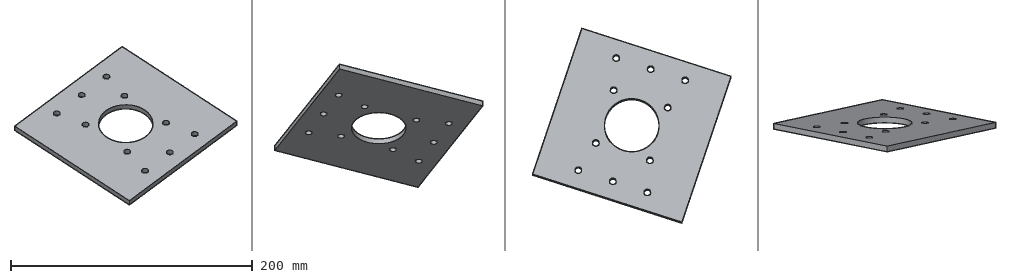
import cadquery as cq

plate_side = 130.0
plate_thickness = 5.0

bore_diameter = 45.0
hole_diameter = 5.5
motor_hole_spacing = 47.0
side_column_spacing = 100.0
side_hole_pitch = 30.0
holes_per_column = 3

plate = cq.Workplane("XY").box(
    plate_side, plate_side, plate_thickness, centered=(True, True, False)
)

plate = plate.faces(">Z").workplane().hole(bore_diameter)

plate = (
    plate.faces(">Z").workplane()
    .rarray(motor_hole_spacing, motor_hole_spacing, 2, 2)
    .hole(hole_diameter)
)

result = (
    plate.faces(">Z").workplane()
    .rarray(side_column_spacing, side_hole_pitch, 2, holes_per_column)
    .hole(hole_diameter)
)